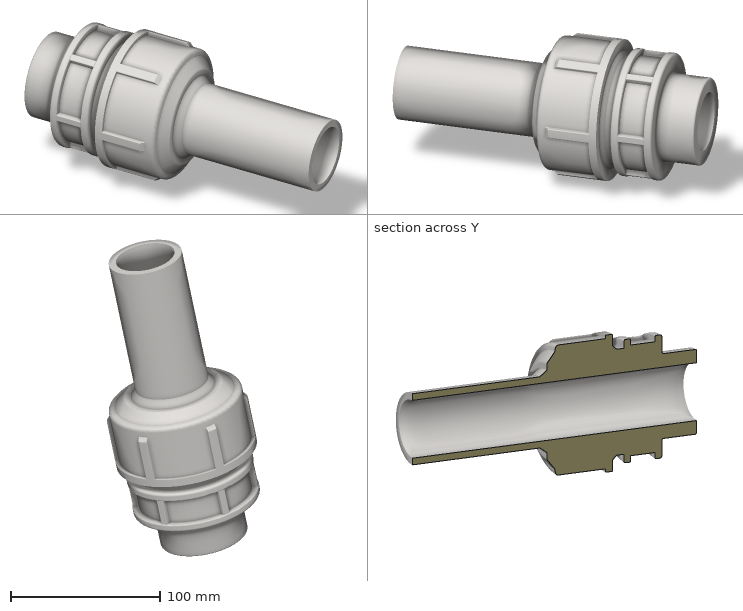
import cadquery as cq
import math

total_length = 212.0
bore_diameter = 40.0

socket_radius = 59.5 / 2
socket_edge_fillet = 1.3
socket_root_fillet = 1.3

collar_start = 25.9
collar_end = 54.5
flange_radius = 86.5 / 2
flange_width = 5.3
flange_outer_fillet = 1.7
flange_inner_fillet = 0.8
drum_radius = 38.8
drum_rib_radius = 42.6
drum_rib_tip_width = 4.7
drum_rib_base_width = 5.0

neck_radius = 74.5 / 2
neck_end = 59.8
neck_flare = 3.0

nut_start = neck_end + neck_flare
nut_rim_radius = 96.0 / 2
nut_rim_width = 5.3
nut_radius = 91.2 / 2
nut_rim_end = nut_start + nut_rim_width
nut_shoulder_start = 105.2
nut_shoulder_end = 106.0
nut_shoulder_radius = 41.0
nut_shoulder_fillet = 2.5
nut_end = 112.0
nut_end_radius = 33.5
nut_end_fillet = 2.1
nut_rib_end = 99.2
nut_rib_slope_length = 2.8
nut_rib_width = 6.5
nut_rib_root_fillet = 0.53

pipe_radius = 50.0 / 2
pipe_cone_radius = 28.8
pipe_cone_end = 117.0

rib_count = 6
rib_spacing = 360 / rib_count
rib_embed = 1.3
rib_tip_fillet = 0.53
edge_margin = 0.2


def cylinder(start, end, radius):
    """Solid cylinder along the X axis."""
    return cq.Workplane("YZ", origin=(start, 0, 0)).circle(radius).extrude(end - start)


def revolved(points):
    """Solid of revolution about the X axis from (x, radius) points."""
    return cq.Workplane("XY").polyline(points).close().revolve(360, (0, 0, 0), (1, 0, 0))


def make_socket():
    """Socket end with a rounded mouth and a hollow fillet against the collar face."""
    fillet = socket_root_fillet
    diagonal = math.sqrt(0.5)
    fillet_middle = (collar_start - fillet + fillet * diagonal, socket_radius + fillet - fillet * diagonal)
    socket = cylinder(0, collar_start + flange_width / 2, socket_radius)
    socket = socket.faces("<X").edges().fillet(socket_edge_fillet)
    root = (
        cq.Workplane("XY")
        .moveTo(collar_start - fillet, socket_radius)
        .threePointArc(fillet_middle, (collar_start, socket_radius + fillet))
        .lineTo(collar_start + flange_width / 2, socket_radius + fillet)
        .lineTo(collar_start + flange_width / 2, socket_radius - fillet)
        .lineTo(collar_start - fillet, socket_radius - fillet)
        .close()
        .revolve(360, (0, 0, 0), (1, 0, 0))
    )
    return socket.union(root)


def make_flange(start, outer_side):
    """Collar flange; outer_side selects the face that carries the larger fillet."""
    inner_side = ">X" if outer_side == "<X" else "<X"
    flange = cylinder(start, start + flange_width, flange_radius)
    flange = flange.faces(outer_side).edges().fillet(flange_outer_fillet)
    return flange.faces(inner_side).edges().fillet(flange_inner_fillet)


def make_drum_rib(start, end):
    """Slightly tapered rib with rounded tip edges, standing on the +Y side of the drum."""
    base_radius = drum_radius - rib_embed
    section = [
        (base_radius, -drum_rib_base_width / 2),
        (drum_rib_radius, -drum_rib_tip_width / 2),
        (drum_rib_radius, drum_rib_tip_width / 2),
        (base_radius, drum_rib_base_width / 2),
    ]
    rib = cq.Workplane("YZ", origin=(start, 0, 0)).polyline(section).close().extrude(end - start)
    return rib.faces(">Y").edges("|X").fillet(rib_tip_fillet)


def make_nut_rib():
    """Rib on the +Y side with a round top flush with the rim, rounded tips, root fillets and a sloped end."""
    side = nut_rib_width / 2
    tip_side = side - rib_tip_fillet
    root_side = side + nut_rib_root_fillet
    tip_edge = math.sqrt(nut_rim_radius**2 - tip_side**2)
    root_edge = math.sqrt(nut_radius**2 - root_side**2)
    base_radius = nut_radius - rib_embed
    rib = (
        cq.Workplane("YZ", origin=(nut_rim_end, 0, 0))
        .moveTo(base_radius, -root_side)
        .lineTo(root_edge, -root_side)
        .radiusArc((root_edge + nut_rib_root_fillet, -side), nut_rib_root_fillet)
        .lineTo(tip_edge - rib_tip_fillet, -side)
        .radiusArc((tip_edge, -tip_side), -rib_tip_fillet)
        .threePointArc((nut_rim_radius, 0), (tip_edge, tip_side))
        .radiusArc((tip_edge - rib_tip_fillet, side), -rib_tip_fillet)
        .lineTo(root_edge + nut_rib_root_fillet, side)
        .radiusArc((root_edge, root_side), nut_rib_root_fillet)
        .lineTo(base_radius, root_side)
        .close()
        .extrude(nut_rib_end - nut_rim_end)
    )
    end_slope = (
        cq.Workplane("XY")
        .moveTo(nut_rib_end - nut_rib_slope_length, nut_rim_radius)
        .lineTo(nut_rib_end, nut_radius)
        .lineTo(nut_rib_end, nut_rim_radius)
        .close()
        .extrude(nut_rib_width, both=True)
    )
    return rib.cut(end_slope)


def add_rib_ring(body, rib):
    for index in range(rib_count):
        body = body.union(rib.rotate((0, 0, 0), (1, 0, 0), index * rib_spacing))
    return body


def make_collar():
    drum = cylinder(collar_start + flange_width / 2, collar_end - flange_width / 2, drum_radius)
    rib = make_drum_rib(collar_start + flange_width / 2, collar_end - flange_width / 2)
    collar = add_rib_ring(drum, rib)
    collar = collar.union(make_flange(collar_start, "<X"))
    return collar.union(make_flange(collar_end - flange_width, ">X"))


def make_neck():
    return revolved([
        (collar_end - flange_width / 2, 0),
        (collar_end - flange_width / 2, neck_radius),
        (neck_end, neck_radius),
        (nut_start, neck_radius + neck_flare),
        (nut_rim_end, neck_radius + neck_flare),
        (nut_rim_end, 0),
    ])


def make_nut():
    nut = revolved([
        (nut_start, 0),
        (nut_start, nut_radius),
        (nut_shoulder_start, nut_radius),
        (nut_shoulder_end, nut_shoulder_radius),
        (nut_end, nut_end_radius),
        (nut_end, 0),
    ])
    shoulder_edge = cq.selectors.BoxSelector(
        (nut_shoulder_start - edge_margin, -nut_rim_radius, -nut_rim_radius),
        (nut_shoulder_start + edge_margin, nut_rim_radius, nut_rim_radius),
        boundingbox=True,
    )
    nut = nut.edges(shoulder_edge).fillet(nut_shoulder_fillet)
    nut = nut.faces(">X").edges().fillet(nut_end_fillet)
    nut = nut.union(cylinder(nut_start, nut_rim_end, nut_rim_radius))
    return add_rib_ring(nut, make_nut_rib())


def make_tail():
    return revolved([
        (nut_shoulder_end, 0),
        (nut_shoulder_end, pipe_cone_radius),
        (nut_end, pipe_cone_radius),
        (pipe_cone_end, pipe_radius),
        (total_length, pipe_radius),
        (total_length, 0),
    ])


body = make_socket().union(make_collar()).union(make_neck()).union(make_nut()).union(make_tail())
bore = cylinder(0, total_length, bore_diameter / 2)
result = body.cut(bore).solids()